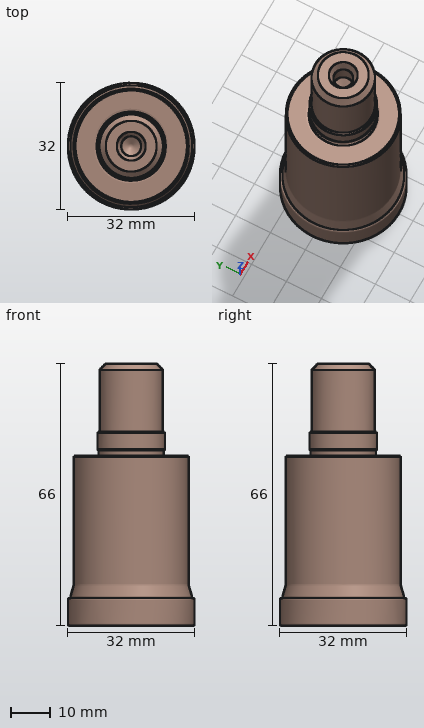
import cadquery as cq
import math

edge_tolerance = 0.005

total_height = 66.0
housing_height = 42.9

flange_diameter = 31.95
flange_height = 7.0
flange_edge_radius = 0.5
shoulder_diameter = 30.7
shoulder_height = 7.4
barrel_diameter = 29.0
barrel_bottom = 10.2
barrel_blend_radius = 1.3
barrel_top_chamfer = 0.45

dish_diameter = 18.75
dish_depth = 0.1

neck_diameter = 16.5
root_radius = 0.25
socket_diameter = 17.4
socket_depth = 6.6
rod_diameter = 16.0
rod_tip_chamfer = 1.6
collar_diameter = 17.0
collar_bottom = 44.1
collar_top = 48.9
collar_base_chamfer_height = 0.4
collar_top_chamfer_height = 0.4

hole_diameter = 5.0
hole_depth = 6.6
hole_cone_depth = 1.45
countersink_diameter = 7.25
countersink_depth = 2.0

socket_floor = housing_height - socket_depth
socket_radius = socket_diameter / 2
dish_floor = housing_height - dish_depth


def round_edge(body, radius, height, fillet_radius):
    """Fillet the circular edge about Z with this radius and height."""
    rim = body.edges("%CIRCLE").filter(
        lambda edge: abs(edge.radius() - radius) < edge_tolerance
        and abs(edge.Center().z - height) < edge_tolerance
    )
    return rim.fillet(fillet_radius)


def make_housing():
    flange_radius = flange_diameter / 2
    shoulder_radius = shoulder_diameter / 2
    barrel_radius = barrel_diameter / 2
    profile = [
        (0, 0),
        (flange_radius, 0),
        (flange_radius, flange_height),
        (shoulder_radius, flange_height),
        (shoulder_radius, shoulder_height),
        (barrel_radius, barrel_bottom),
        (barrel_radius, housing_height - barrel_top_chamfer),
        (barrel_radius - barrel_top_chamfer, housing_height),
        (dish_diameter / 2, housing_height),
        (socket_radius, dish_floor),
        (socket_radius, socket_floor),
        (0, socket_floor),
    ]
    body = cq.Workplane("XZ").polyline(profile).close().revolve(360, (0, 0, 0), (0, 1, 0))
    body = round_edge(body, barrel_radius, barrel_bottom, barrel_blend_radius)
    for height in (0, flange_height):
        body = round_edge(body, flange_radius, height, flange_edge_radius)
    return body


def make_rod():
    rod_radius = rod_diameter / 2
    neck_radius = neck_diameter / 2
    collar_radius = collar_diameter / 2
    hole_radius = hole_diameter / 2
    hole_floor = total_height - hole_depth
    root_top = dish_floor + root_radius
    root_center = (neck_radius + root_radius, root_top)
    arc_reach = root_radius * math.sqrt(0.5)
    root_arc_middle = (root_center[0] - arc_reach, root_center[1] - arc_reach)
    return (
        cq.Workplane("XZ")
        .moveTo(0, socket_floor)
        .lineTo(socket_radius, socket_floor)
        .lineTo(socket_radius, dish_floor)
        .lineTo(root_center[0], dish_floor)
        .threePointArc(root_arc_middle, (neck_radius, root_top))
        .lineTo(neck_radius, collar_bottom)
        .lineTo(collar_radius, collar_bottom + collar_base_chamfer_height)
        .lineTo(collar_radius, collar_top - collar_top_chamfer_height)
        .lineTo(rod_radius, collar_top)
        .lineTo(rod_radius, total_height - rod_tip_chamfer)
        .lineTo(rod_radius - rod_tip_chamfer, total_height)
        .lineTo(countersink_diameter / 2, total_height)
        .lineTo(hole_radius, total_height - countersink_depth)
        .lineTo(hole_radius, hole_floor)
        .lineTo(0, hole_floor - hole_cone_depth)
        .close()
        .revolve(360, (0, 0, 0), (0, 1, 0))
    )


housing = make_housing()
rod = make_rod()

result = cq.Compound.makeCompound([housing.val(), rod.val()])